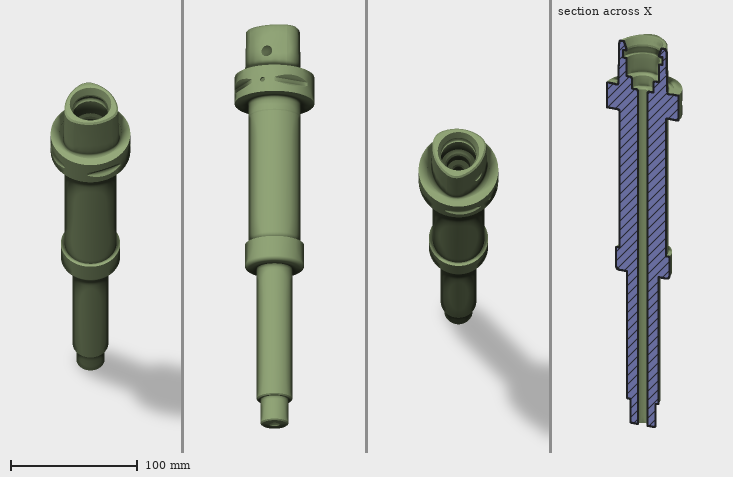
import cadquery as cq
import math

total_length = 327.7
shank_length = 38.0
flange_diameter = 63.0
flange_height = 22.0
neck_diameter = 41.3
neck_length = 12.0
neck_step_height = 1.0
neck_fillet = 1.0
body_diameter = 41.0
collar_diameter = 47.0
collar_height = 19.5
collar_fillet = 3.0
shaft_diameter = 28.2
shaft_length = 109.5
shaft_chamfer = 1.0
spigot_diameter = 22.3
spigot_length = 20.3
spigot_chamfer = 1.0

flange_top = total_length - shank_length
flange_bottom = flange_top - flange_height
neck_bottom = flange_bottom - neck_length
collar_bottom = spigot_length + shaft_length
collar_top = collar_bottom + collar_height

lobe_count = 3
lobe_pitch = 360 / lobe_count
lobe_centre_distance = 10.8
lobe_radius = 12.8
lobe_half_angle = 30
side_radius = lobe_radius + math.sqrt(3) * lobe_centre_distance
shank_slope = 1 / 40
shank_top_chamfer = 1.3
shank_fillet = 1.0
relief_diameter = 49.5
relief_depth = 0.3

mouth_diameter = 32.8
lip_diameter = 28.2
lip_depth = 6.2
groove_diameter = 34.0
groove_top_depth = 8.0
groove_bottom_depth = 14.0
main_bore_diameter = 28.0
main_bore_depth = 29.5
inner_bore_diameter = 18.5
inner_bore_mouth_diameter = 21.0
inner_bore_depth = 39.3
through_diameter = 8.2
through_mouth_diameter = 10.5

dimple_diameter = 9.0
dimple_z = total_length - 22.3
index_hole_diameter = 4.0
index_hole_depth = 2.0
rim_feature_z = flange_top - 11.8

slot_count = 4
slot_start_angle = 45
slot_depth = 3.5
slot_floor_height = 3.0
slot_mouth_height = 9.0


def cylinder(diameter, bottom, top):
    return cq.Workplane("XY", origin=(0, 0, bottom)).circle(diameter / 2).extrude(top - bottom)


def polar(radius, degrees, centre=(0, 0)):
    angle = math.radians(degrees)
    return (centre[0] + radius * math.cos(angle), centre[1] + radius * math.sin(angle))


def revolve_about_z(points):
    """Turn a closed outline of (radius, z) points about the Z axis."""
    return cq.Workplane("XZ").polyline(points).close().revolve(360, (0, 0), (0, 1))


def make_stepped_body():
    spigot = cylinder(spigot_diameter, 0, spigot_length).faces("<Z").chamfer(spigot_chamfer)
    shaft = cylinder(shaft_diameter, spigot_length, collar_bottom).faces("<Z").chamfer(shaft_chamfer)
    collar = cylinder(collar_diameter, collar_bottom, collar_top).faces("<Z").edges().fillet(collar_fillet)
    barrel = revolve_about_z([
        (0, collar_top),
        (body_diameter / 2, collar_top),
        (body_diameter / 2, neck_bottom),
        (neck_diameter / 2, neck_bottom + neck_step_height),
        (neck_diameter / 2, flange_bottom),
        (flange_diameter / 2, flange_bottom),
        (flange_diameter / 2, flange_top),
        (0, flange_top),
    ])
    barrel = barrel.edges(cq.selectors.RadiusNthSelector(1)).edges(">Z").fillet(neck_fillet)
    relief = cylinder(relief_diameter, flange_top - relief_depth, flange_top)
    return spigot.union(shaft).union(collar).union(barrel).cut(relief)


def make_shank():
    bottom = flange_top - relief_depth
    start = polar(lobe_radius, -lobe_half_angle, (lobe_centre_distance, 0))
    outline = cq.Workplane("XY", origin=(0, 0, bottom)).moveTo(*start)
    for i in range(lobe_count):
        lobe_angle = i * lobe_pitch
        side_angle = lobe_angle + lobe_pitch / 2
        lobe_centre = polar(lobe_centre_distance, lobe_angle)
        side_centre = polar(lobe_centre_distance, lobe_angle - lobe_pitch)
        outline = outline.threePointArc(
            polar(lobe_radius, lobe_angle, lobe_centre),
            polar(lobe_radius, lobe_angle + lobe_half_angle, lobe_centre),
        )
        outline = outline.threePointArc(
            polar(side_radius, side_angle, side_centre),
            polar(side_radius, side_angle + lobe_half_angle, side_centre),
        )
    taper_angle = math.degrees(math.atan(shank_slope))
    shank = outline.close().extrude(total_length - bottom, taper=taper_angle)
    return shank.faces(">Z").chamfer(shank_top_chamfer)


def fillet_shank_foot(part):
    foot_z = flange_top - relief_depth
    margin = relief_depth / 2
    reach = relief_diameter / 2
    foot_edges = part.edges(cq.selectors.BoxSelector(
        (-reach, -reach, foot_z - margin), (reach, reach, foot_z + margin)))
    outline_edges = [edge for edge in foot_edges.vals() if not edge.IsClosed()]
    return part.newObject(outline_edges).fillet(shank_fillet)


def make_bore():
    inner_mouth_height = (inner_bore_mouth_diameter - inner_bore_diameter) / 2
    through_mouth_height = (through_mouth_diameter - through_diameter) / 2
    main_floor = total_length - main_bore_depth
    inner_floor = total_length - inner_bore_depth
    return revolve_about_z([
        (0, 0),
        (through_diameter / 2, 0),
        (through_diameter / 2, inner_floor - through_mouth_height),
        (through_mouth_diameter / 2, inner_floor),
        (inner_bore_diameter / 2, inner_floor),
        (inner_bore_diameter / 2, main_floor - inner_mouth_height),
        (inner_bore_mouth_diameter / 2, main_floor),
        (main_bore_diameter / 2, main_floor),
        (main_bore_diameter / 2, total_length - groove_bottom_depth),
        (groove_diameter / 2, total_length - groove_bottom_depth),
        (groove_diameter / 2, total_length - groove_top_depth),
        (lip_diameter / 2, total_length - groove_top_depth),
        (lip_diameter / 2, total_length - lip_depth),
        (mouth_diameter / 2, total_length),
        (0, total_length),
    ])


def make_dimple():
    side_distance = side_radius - lobe_centre_distance - shank_slope * (dimple_z - flange_top)
    return cq.Workplane(origin=(-side_distance, 0, dimple_z)).sphere(dimple_diameter / 2)


def make_index_hole():
    rim = cq.Workplane("YZ", origin=(-flange_diameter / 2, 0, rim_feature_z))
    return rim.circle(index_hole_diameter / 2).extrude(index_hole_depth)


def make_slot(angle):
    rim = flange_diameter / 2
    floor = rim - slot_depth
    slot = (
        cq.Workplane("XZ", origin=(0, 0, rim_feature_z))
        .polyline([
            (floor, -slot_floor_height / 2),
            (rim, -slot_mouth_height / 2),
            (rim, slot_mouth_height / 2),
            (floor, slot_floor_height / 2),
        ])
        .close()
        .extrude(rim, both=True)
    )
    return slot.rotate((0, 0, 0), (0, 0, 1), angle)


result = fillet_shank_foot(make_stepped_body().union(make_shank()))
result = result.cut(make_bore()).cut(make_dimple()).cut(make_index_hole())
for i in range(slot_count):
    result = result.cut(make_slot(slot_start_angle + i * 360 / slot_count))